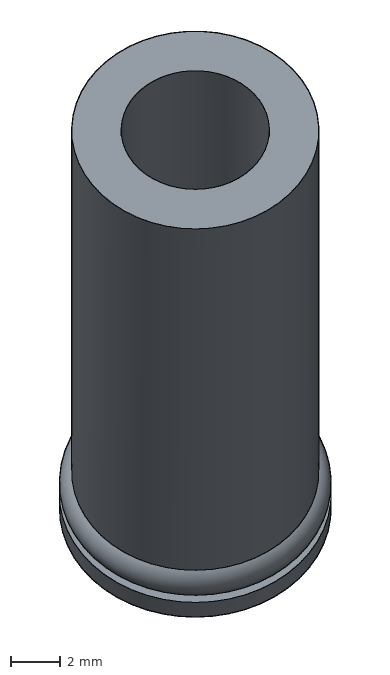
import cadquery as cq

total_height = 25.5
body_diameter = 10.0
rim_diameter = 11.0
bore_diameter = 6.0
flange_height = 1.0
bead_height = 1.5

body_radius = body_diameter / 2
rim_radius = rim_diameter / 2
bore_radius = bore_diameter / 2
bead_center_height = flange_height + bead_height / 2
bead_top = flange_height + bead_height

sleeve = cq.Workplane("XY").circle(body_radius).extrude(total_height)
flange = cq.Workplane("XY").circle(rim_radius).extrude(flange_height)

bead = (
    cq.Workplane("XZ")
    .moveTo(bore_radius, flange_height)
    .lineTo(body_radius, flange_height)
    .threePointArc((rim_radius, bead_center_height), (body_radius, bead_top))
    .lineTo(bore_radius, bead_top)
    .close()
    .revolve(360, (0, 0), (0, 1))
)

bore = cq.Workplane("XY").circle(bore_radius).extrude(total_height)

result = sleeve.union(flange).union(bead).cut(bore)